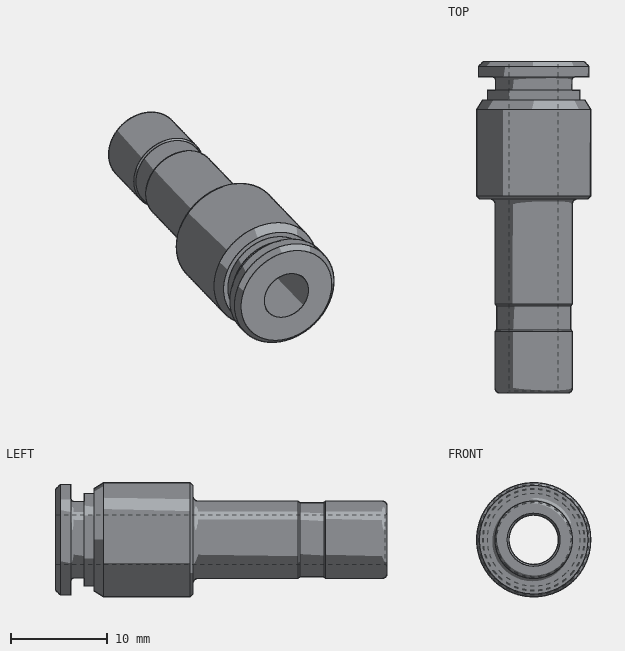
import cadquery as cq

length = 34.2

stem_radius = 4.0
tip_round = 0.5
groove_start = 6.35
groove_width = 2.8
groove_depth = 0.17
groove_end = groove_start + groove_width

body_start = 20.0
body_end = 30.23
body_radius = 5.9
body_chamfer = 0.3
stem_fillet = 0.5
cone_length = 1.0
cone_rise = 0.6

collar_radius = 4.8
collar_length = 1.0
neck_radius = 3.97
flange_radius = 5.7
flange_thickness = 1.6
flange_chamfer = 0.5
neck_fillet = 0.3
flange_start = length - flange_thickness
collar_end = body_end + collar_length

bore_radius = 2.53
bore_chamfer = 0.2


def cylinder(radius, start, end):
    """Solid cylinder about the Y axis from Y = start to Y = end."""
    axis_plane = cq.Plane(origin=(0, start, 0), xDir=(1, 0, 0), normal=(0, 1, 0))
    return cq.Workplane(axis_plane).circle(radius).extrude(end - start)


def revolve_about_y(profile):
    """Turn a closed profile of (radius, Y) about the Y axis."""
    return profile.close().revolve(360, (0, 0, 0), (0, 1, 0))


def make_stem():
    stem = cylinder(stem_radius, 0, body_start).faces("<Y").edges().fillet(tip_round)
    groove_floor = stem_radius - groove_depth
    groove = revolve_about_y(
        cq.Workplane("XY")
        .moveTo(stem_radius, groove_start)
        .lineTo(groove_floor, groove_start + groove_depth)
        .lineTo(groove_floor, groove_end - groove_depth)
        .lineTo(stem_radius, groove_end)
    )
    return stem.cut(groove)


def make_body():
    body = cylinder(body_radius, body_start, body_end)
    body = body.faces("<Y").edges().chamfer(body_chamfer)
    cone_start = body_end - cone_length
    cone_cut = revolve_about_y(
        cq.Workplane("XY")
        .moveTo(body_radius, cone_start)
        .lineTo(body_radius, body_end)
        .lineTo(body_radius - cone_rise, body_end)
    )
    return body.cut(cone_cut)


def make_sleeve():
    collar = cylinder(collar_radius, body_end, collar_end)
    neck = cylinder(neck_radius, collar_end, flange_start)
    flange = cylinder(flange_radius, flange_start, length)
    flange = flange.faces(">Y").edges().chamfer(flange_chamfer)
    return collar.union(neck).union(flange)


def make_corner_fillet(radius, shoulder, size):
    """Ring filling the concave corner between a shaft and the shoulder at its +Y end."""
    return revolve_about_y(
        cq.Workplane("XY")
        .moveTo(radius - size, shoulder)
        .lineTo(radius + size, shoulder)
        .radiusArc((radius, shoulder - size), -size)
        .lineTo(radius - size, shoulder - size)
    )


def make_bore():
    bore = cylinder(bore_radius, 0, length)
    flare = revolve_about_y(
        cq.Workplane("XY")
        .moveTo(0, 0)
        .lineTo(bore_radius + bore_chamfer, 0)
        .lineTo(bore_radius, bore_chamfer)
        .lineTo(0, bore_chamfer)
    )
    return bore.union(flare)


result = (
    make_stem()
    .union(make_body())
    .union(make_sleeve())
    .union(make_corner_fillet(stem_radius, body_start, stem_fillet))
    .union(make_corner_fillet(neck_radius, flange_start, neck_fillet))
    .cut(make_bore())
)